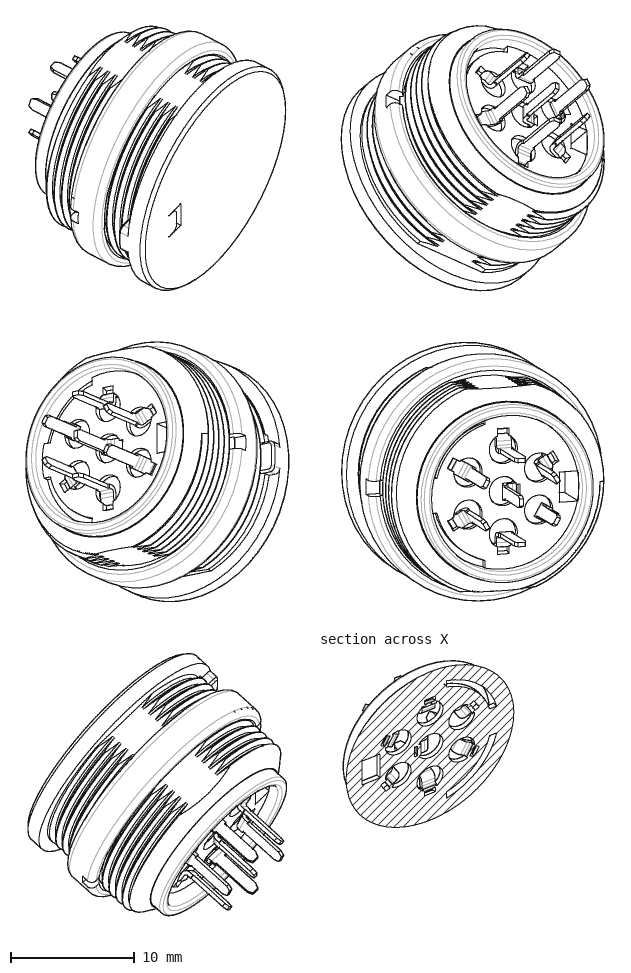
import cadquery as cq
import math

LENGTH = 16.25

RIM_X = 3.47
RIM_DIAMETER = 14.7
RIM_OUTER_ROUND = 0.2
RIM_INNER_ROUND = 0.25
CONE_X = 4.66
CONE_START_DIAMETER = 14.85
CONE_END_X = 5.85
THREAD_MAJOR = 18.0
ACROSS_FLATS = 16.8

PITCH = 0.75
GROOVE_DEPTH = 0.425
GROOVE_ROOT_WIDTH = PITCH / 4
FLANK_ANGLE = 30.0
GROOVE_OVERCUT = 0.05
GROOVE_START_X = 5.52
RUNOUT_ANGLE = 13.5
GROOVE_TURNS = 12 - RUNOUT_ANGLE / 360

FLANGE_DIAMETER = 20.0
FLANGE_THICKNESS = 1.54
FLANGE_X = LENGTH - FLANGE_THICKNESS
FLANGE_CHAMFER = 0.3
TAB_LENGTH = 0.95
TAB_WIDTH = 2.6
TAB_ROUND = 0.45
TAB_CHAMFER = 0.2

NUT_X = 8.76
NUT_THICKNESS = 3.0
NUT_DIAMETER = 20.0
NUT_ROUND = 0.5
NUT_BORE = 17.3
NUT_BORE_MOUTH = 18.3
NUT_SLOT_WIDTH = 1.26
NUT_SLOT_DEPTH = 1.02

BORE_DIAMETER = 12.9
INSERT_X = 4.65
NOTCH_INNER_DIAMETER = 11.7
NOTCH_SIDE_Y = 1.57
NOTCH_SIDE_Z = 1.45
NOTCH_DEPTH = 0.5

WINDOW_WIDTH = 2.5
WINDOW_INNER_Y = -4.78
WINDOW_OUTER_Y = -6.4
KEY_TIP_Y = -5.35
KEY_WIDTH = 2.42
KEY_X = 8.0
KEY_CORNER_ROUND = 0.6

CONTACT_COUNT = 6
CONTACT_CIRCLE_RADIUS = 3.48
WELL_DIAMETER = 2.4
WELL_DEPTH = 0.5
BLADE_THICKNESS = 0.34
BLADE_WIDTH = 0.97
TIP_WIDTH = 0.6
TIP_LENGTH = 0.42
SHANK_WIDTH = 1.26
SHANK_LEAD = 0.35
BEND_INNER_RADIUS = 0.2
SHOULDER_LENGTH = 0.35
HEAD_RADIUS = 0.47
HEAD_RISE = 0.15
OUTER_SLOT_REACH = 1.72
CENTRE_SLOT_REACH = 1.42
OUTER_SLOT_SLOPE = 0.15
SLOT_DEPTH = 0.5


def disc(diameter, start_x, end_x):
    """Cylinder on the X axis."""
    return cq.Workplane("YZ").workplane(offset=start_x).circle(diameter / 2).extrude(end_x - start_x)


def block(x_range, y_range, z_range):
    """Box given by its limits along each axis."""
    sizes = [high - low for low, high in (x_range, y_range, z_range)]
    corner = (x_range[0], y_range[0], z_range[0])
    return cq.Workplane("XY").box(*sizes, centered=False).translate(corner)


def make_groove():
    """Right-hand helical thread groove around the X axis."""
    root_radius = THREAD_MAJOR / 2 - GROOVE_DEPTH
    cut_height = GROOVE_DEPTH + GROOVE_OVERCUT
    root_half = GROOVE_ROOT_WIDTH / 2
    mouth_half = root_half + cut_height * math.tan(math.radians(FLANK_ANGLE))
    helix = cq.Wire.makeHelix(PITCH, PITCH * GROOVE_TURNS, root_radius)
    groove = (
        cq.Workplane("XZ")
        .moveTo(root_radius, -root_half)
        .lineTo(root_radius + cut_height, -mouth_half)
        .lineTo(root_radius + cut_height, mouth_half)
        .lineTo(root_radius, root_half)
        .close()
        .sweep(cq.Workplane(helix), isFrenet=True)
    )
    start = cq.Plane(origin=(GROOVE_START_X, 0, 0), xDir=(0, -1, 0), normal=(1, 0, 0))
    return cq.Workplane(groove.val().moved(cq.Location(start)))


def make_shell():
    """Rear rim, cone and threaded barrel with two flats."""
    rim = disc(RIM_DIAMETER, RIM_X, CONE_X).faces("<X").edges().fillet(RIM_OUTER_ROUND)
    barrel = (
        cq.Workplane("XY")
        .moveTo(CONE_X, 0)
        .lineTo(CONE_X, CONE_START_DIAMETER / 2)
        .lineTo(CONE_END_X, THREAD_MAJOR / 2)
        .lineTo(FLANGE_X, THREAD_MAJOR / 2)
        .lineTo(FLANGE_X, 0)
        .close()
        .revolve(360, (0, 0, 0), (1, 0, 0))
    )
    barrel = barrel.cut(make_groove())
    half_flats = ACROSS_FLATS / 2
    half_major = THREAD_MAJOR / 2
    between_flats = block((RIM_X, FLANGE_X), (-half_major, half_major), (-half_flats, half_flats))
    return barrel.intersect(between_flats).union(rim)


def make_flange():
    """Front flange with a locating tab at -Y that points to the rear."""
    flange = disc(FLANGE_DIAMETER, FLANGE_X, LENGTH).faces(">X").edges().chamfer(FLANGE_CHAMFER)
    tab_x = FLANGE_X - TAB_LENGTH
    tab_root_y = -(THREAD_MAJOR / 2 - GROOVE_DEPTH)
    tab = block((tab_x, FLANGE_X), (-FLANGE_DIAMETER / 2, tab_root_y), (-TAB_WIDTH / 2, TAB_WIDTH / 2))
    tab = tab.intersect(disc(FLANGE_DIAMETER, tab_x, FLANGE_X))
    tab = tab.edges("|X").edges("<Y").fillet(TAB_ROUND)
    tab = tab.faces("<X").edges("not >Y").chamfer(TAB_CHAMFER)
    return flange.union(tab)


def make_nut():
    """Ring nut with rounded rims, chamfered bore and two wrench slots in its rear face."""
    nut_end = NUT_X + NUT_THICKNESS
    nut = disc(NUT_DIAMETER, NUT_X, nut_end).cut(disc(NUT_BORE, NUT_X, nut_end))
    mouth_chamfer = (NUT_BORE_MOUTH - NUT_BORE) / 2
    nut = nut.edges(cq.selectors.RadiusNthSelector(0)).chamfer(mouth_chamfer)
    nut = nut.edges(cq.selectors.RadiusNthSelector(-1)).fillet(NUT_ROUND)
    half_slot = NUT_SLOT_WIDTH / 2
    slot = block(
        (NUT_X, NUT_X + NUT_SLOT_DEPTH), (-NUT_DIAMETER / 2, NUT_DIAMETER / 2), (-half_slot, half_slot)
    )
    return nut.cut(slot)


def make_rear_bore():
    """Rear bore down to the insert, with a rounded mouth and two arc notches in the insert."""
    bore = disc(BORE_DIAMETER, RIM_X, INSERT_X)
    mouth_radius = BORE_DIAMETER / 2 + RIM_INNER_ROUND
    mouth = (
        cq.Workplane("XY")
        .moveTo(RIM_X, 0)
        .lineTo(RIM_X, mouth_radius)
        .radiusArc((RIM_X + RIM_INNER_ROUND, BORE_DIAMETER / 2), -RIM_INNER_ROUND)
        .lineTo(RIM_X + RIM_INNER_ROUND, 0)
        .close()
        .revolve(360, (0, 0, 0), (1, 0, 0))
    )
    bore = bore.union(mouth)
    notch_end = INSERT_X + NOTCH_DEPTH
    ring = disc(BORE_DIAMETER, INSERT_X, notch_end).cut(disc(NOTCH_INNER_DIAMETER, INSERT_X, notch_end))
    reach = BORE_DIAMETER / 2
    for z_range in ((NOTCH_SIDE_Z, reach), (-reach, -NOTCH_SIDE_Z)):
        bore = bore.union(ring.intersect(block((INSERT_X, notch_end), (NOTCH_SIDE_Y, reach), z_range)))
    return bore


def make_key_window():
    """Cutter for the window at -Y, leaving a key rib with a curved rear end."""
    half_window = WINDOW_WIDTH / 2
    window = block((INSERT_X, LENGTH), (WINDOW_OUTER_Y, WINDOW_INNER_Y), (-half_window, half_window))
    key_height = KEY_TIP_Y - WINDOW_OUTER_Y
    key = (
        cq.Workplane("XY")
        .moveTo(KEY_X, WINDOW_OUTER_Y)
        .radiusArc((KEY_X + key_height, KEY_TIP_Y), key_height)
        .lineTo(LENGTH, KEY_TIP_Y)
        .lineTo(LENGTH, WINDOW_OUTER_Y)
        .close()
        .extrude(KEY_WIDTH / 2, both=True)
    )
    rounded = block((KEY_X, LENGTH), (WINDOW_OUTER_Y, KEY_TIP_Y), (-KEY_WIDTH / 2, KEY_WIDTH / 2))
    rounded = rounded.edges("|X").edges(">Y").fillet(KEY_CORNER_ROUND)
    return window.cut(key.intersect(rounded))


def place_contact(shape, radius, angle):
    """Turn a shape whose strip bends toward +Y into its place around the X axis."""
    return shape.translate((0, radius, 0)).rotate((0, 0, 0), (1, 0, 0), angle)


def make_contact():
    """Flat blade that bends outward and then back into the insert."""
    half = BLADE_THICKNESS / 2
    head_x = INSERT_X - HEAD_RISE
    bend_x = head_x - BEND_INNER_RADIUS
    shank_x = bend_x - SHANK_LEAD
    blade = (
        cq.Workplane("XZ", origin=(0, half, 0))
        .moveTo(0, -TIP_WIDTH / 2)
        .lineTo(TIP_LENGTH, -BLADE_WIDTH / 2)
        .lineTo(bend_x, -BLADE_WIDTH / 2)
        .lineTo(bend_x, BLADE_WIDTH / 2)
        .lineTo(TIP_LENGTH, BLADE_WIDTH / 2)
        .lineTo(0, TIP_WIDTH / 2)
        .close()
        .extrude(BLADE_THICKNESS)
    )
    bend_outer_radius = BEND_INNER_RADIUS + BLADE_THICKNESS
    bend_y = half + BEND_INNER_RADIUS
    shoulder_y = bend_y + SHOULDER_LENGTH
    head_y = shoulder_y + HEAD_RADIUS
    head_inner_radius = HEAD_RADIUS - BLADE_THICKNESS
    foot_x = INSERT_X + WELL_DEPTH + SLOT_DEPTH
    shank = (
        cq.Workplane("XY")
        .moveTo(shank_x, half)
        .lineTo(bend_x, half)
        .radiusArc((head_x, bend_y), -BEND_INNER_RADIUS)
        .lineTo(head_x, shoulder_y)
        .radiusArc((head_x + HEAD_RADIUS, head_y), HEAD_RADIUS)
        .lineTo(foot_x, head_y)
        .lineTo(foot_x, head_y - BLADE_THICKNESS)
        .lineTo(head_x + HEAD_RADIUS, head_y - BLADE_THICKNESS)
        .radiusArc((head_x + BLADE_THICKNESS, shoulder_y), -head_inner_radius)
        .lineTo(head_x + BLADE_THICKNESS, bend_y)
        .radiusArc((bend_x, -half), bend_outer_radius)
        .lineTo(shank_x, -half)
        .close()
        .extrude(SHANK_WIDTH / 2, both=True)
    )
    return blade.union(shank)


def make_contact_seat(slot_reach, wall_slope):
    """Cutter for the round well and the slot, whose outer wall may lean inward."""
    well = disc(WELL_DIAMETER, INSERT_X, INSERT_X + WELL_DEPTH)
    slot = (
        cq.Workplane("XY")
        .moveTo(INSERT_X, 0)
        .lineTo(INSERT_X, slot_reach)
        .lineTo(INSERT_X + SLOT_DEPTH, slot_reach - wall_slope)
        .lineTo(INSERT_X + SLOT_DEPTH, 0)
        .close()
        .extrude(BLADE_WIDTH / 2, both=True)
    )
    return well.union(slot)


contact_places = [(0, 180, CENTRE_SLOT_REACH, 0)]
for index in range(CONTACT_COUNT):
    contact_angle = (index + 0.5) * 360 / CONTACT_COUNT
    contact_places.append((CONTACT_CIRCLE_RADIUS, contact_angle, OUTER_SLOT_REACH, OUTER_SLOT_SLOPE))

result = make_shell().union(make_flange()).union(make_nut())
result = result.cut(make_rear_bore()).cut(make_key_window())
for place_radius, place_angle, slot_reach, wall_slope in contact_places:
    seat = place_contact(make_contact_seat(slot_reach, wall_slope), place_radius, place_angle)
    contact = place_contact(make_contact(), place_radius, place_angle)
    result = result.cut(seat).union(contact)